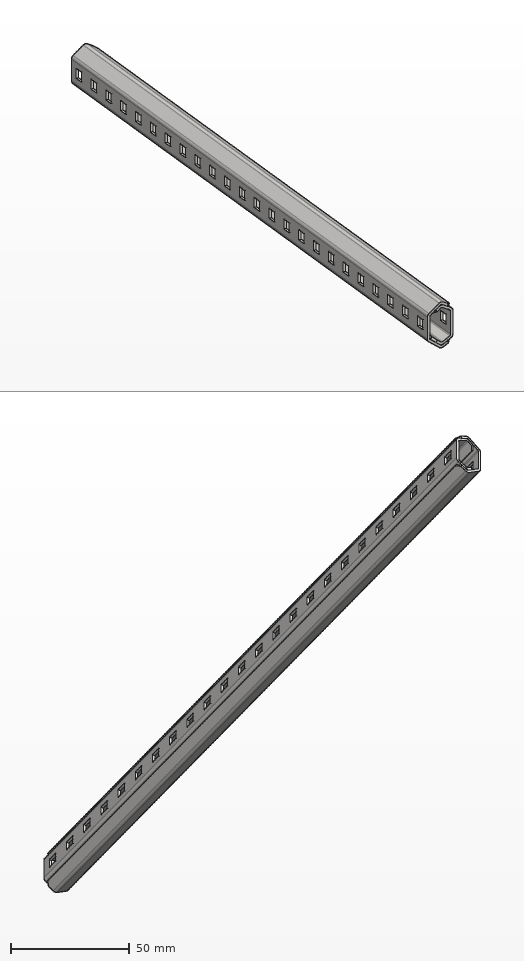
import cadquery as cq
import math


LENGTH = 304.8
WIDTH = 12.5
HEIGHT = 21.3

SHEET = 1.2
BEND_RADIUS = 1.9
FRONT_SLOPE = math.radians(36.7)
REAR_SLOPE = math.radians(28.2)
RIDGE_Y = 0.5

FRONT_LIP_INSET = 0.7
REAR_LIP_INSET = 2.62
LIP_CORNER = 1.8

HOLE_COUNT = 24
HOLE_PITCH = LENGTH / HOLE_COUNT
HOLE_SIZE = 4.5

BEND_HALF_ANGLE = (FRONT_SLOPE + REAR_SLOPE) / 2
RIDGE_LEAN = (FRONT_SLOPE - REAR_SLOPE) / 2
APEX_RISE = BEND_RADIUS / math.cos(BEND_HALF_ANGLE)
APEX_Y = RIDGE_Y - APEX_RISE * math.sin(RIDGE_LEAN)
APEX_Z = HEIGHT / 2 - BEND_RADIUS + APEX_RISE * math.cos(RIDGE_LEAN)

FRONT_WALL_Y = -WIDTH / 2
REAR_WALL_Y = WIDTH / 2


def upper_skin(depth, wall_y, lip_y):
    """(Y, Z) of lip end, apex and wall corner on a skin `depth` below the roof surface."""
    miter = depth / math.cos(BEND_HALF_ANGLE)
    apex_y = APEX_Y + miter * math.sin(RIDGE_LEAN)
    apex_z = APEX_Z - miter * math.cos(RIDGE_LEAN)

    def roof_z(y):
        slope = FRONT_SLOPE if y < apex_y else REAR_SLOPE
        return apex_z - abs(y - apex_y) * math.tan(slope)

    return [(lip_y, roof_z(lip_y)), (apex_y, apex_z), (wall_y, roof_z(wall_y))]


def with_mirror(upper):
    """Continue an upper skin down the wall and along its mirror image below Z = 0."""
    return upper + [(y, -z) for y, z in reversed(upper)]


def round_bends(body, skin, radius):
    """Round every bend of a skin, leaving its two lip ends sharp."""
    for y, z in skin[1:-1]:
        body = body.edges("|X").edges(cq.NearestToPointSelector((0, y, z))).fillet(radius)
    return body


def cut_lip_corners(body, y, upper_z):
    """Chamfer the four lip corners, whose edges are centred on (+-LENGTH / 2, y, +-upper_z)."""
    for x in (-LENGTH / 2, LENGTH / 2):
        for z in (-upper_z, upper_z):
            body = body.edges(cq.NearestToPointSelector((x, y, z))).chamfer(LIP_CORNER)
    return body


def hole_row():
    """Square bars along Y, one for each hole position."""
    bars = cq.Workplane("XZ").rarray(HOLE_PITCH, 3, HOLE_COUNT, 1).rect(HOLE_SIZE, HOLE_SIZE)
    return bars.extrude(WIDTH, both=True)


def bent_sheet(depth, wall_y, lip_y, lip_slope):
    """One perforated sheet whose outer skin lies `depth` below the roof surface."""
    toward_lip = math.copysign(1, lip_y - wall_y)
    inner_wall_y = wall_y + toward_lip * SHEET
    inner_lip_y = lip_y - toward_lip * SHEET * math.sin(lip_slope)

    outer_upper = upper_skin(depth, wall_y, lip_y)
    inner_upper = upper_skin(depth + SHEET, inner_wall_y, inner_lip_y)
    outer = with_mirror(outer_upper)
    inner = with_mirror(inner_upper)

    profile = cq.Workplane("YZ").polyline(outer + inner[::-1]).close()
    body = profile.extrude(LENGTH / 2, both=True)
    body = round_bends(body, outer, BEND_RADIUS)
    body = round_bends(body, inner, BEND_RADIUS - SHEET)

    lip_end_z = (outer_upper[0][1] + inner_upper[0][1]) / 2
    body = cut_lip_corners(body, (lip_y + inner_lip_y) / 2, lip_end_z)
    return body.cut(hole_row()).solids()


front_sheet = bent_sheet(0, FRONT_WALL_Y, REAR_WALL_Y - FRONT_LIP_INSET, REAR_SLOPE)
rear_sheet = bent_sheet(SHEET, REAR_WALL_Y, FRONT_WALL_Y + REAR_LIP_INSET, FRONT_SLOPE)

result = cq.Compound.makeCompound([front_sheet.val(), rear_sheet.val()])